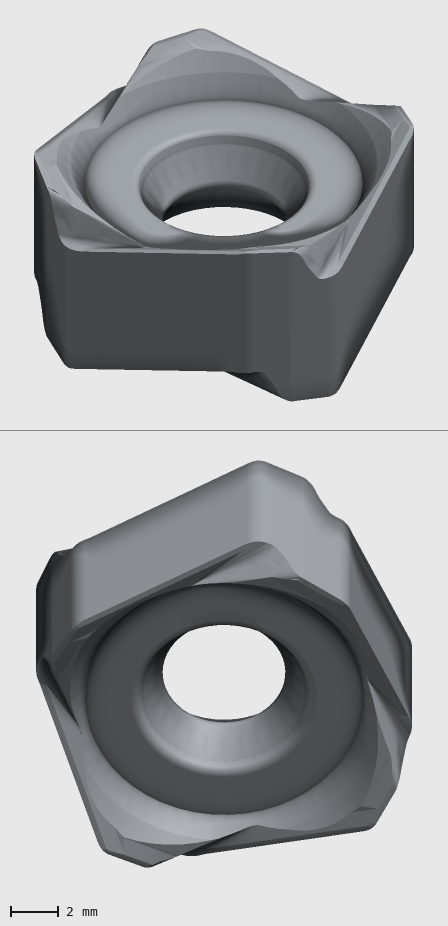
import cadquery as cq
import math

HALF_WIDTH = 7.0
HALF_THICKNESS = 4.2
SIDES = 4

CORNER_VERTEX = 5.645
CORNER_LEAN = 40.7
CORNER_RADIUS = 1.12
VERTEX_RADIUS = 0.6
DIAGONAL_TOLERANCE = 0.1

SEAT_HEIGHT = 2.03
SEAT_RADIUS = 5.83
WALL_SLOPE = 1.6
UPPER_WALL_RADIUS = 6.46
UPPER_WALL_SLOPE = 1.2

EDGE_MIDDLE_HEIGHT = 3.065
EDGE_SLOPE = 0.281
CORNER_EDGE_HEIGHT = 3.9
CORNER_EDGE_SLOPE = 0.17
LAND_WIDTH = 0.25
RAKE_ANGLE = 26.0
RAKE_WIDTH = 0.6
BACK_ANGLE = 10.0

GULLY_END = (-0.8, -6.1, 2.48)
GULLY_SHOULDER = (0.38, 3.64)
GULLY_SLOPE_MIDDLE = (0.75, 2.9)
GULLY_SLOPE_FOOT = (1.1, 2.36)
GULLY_FLOOR_START = 1.63
GULLY_SHOULDER_FALL = 0.3
GULLY_TIP_SCALE = 0.01
GULLY_OVERSHOOT = 1.4

RIM_RADIUS = 3.92
RIM_ROUND_MIDDLE = (3.734, 1.985)
RIM_ROUND_END = (3.59, 1.86)
BOWL_RADIUS = 3.45
BOWL_HEIGHT = 1.5
THROAT_RADIUS = 2.58
THROAT_ROUND = 0.38

CLEAR = 10.0


def body_prism():
    """Upper half of the plain outline, from mid-height to the top."""
    run = math.tan(math.radians(CORNER_LEAN))
    side_end = CORNER_VERTEX - (HALF_WIDTH - CORNER_VERTEX) / run
    points = []
    for sign_x, sign_y in ((1, 1), (-1, 1), (-1, -1), (1, -1)):
        corner = [
            (sign_x * HALF_WIDTH, sign_y * side_end),
            (sign_x * CORNER_VERTEX, sign_y * CORNER_VERTEX),
            (sign_x * side_end, sign_y * HALF_WIDTH),
        ]
        points += corner if sign_x == sign_y else corner[::-1]
    prism = cq.Workplane("XY").polyline(points).close().extrude(HALF_THICKNESS)

    def on_diagonal(edge):
        center = edge.Center()
        return math.isclose(abs(center.x), abs(center.y), abs_tol=DIAGONAL_TOLERANCE)

    upright = prism.edges("|Z").vals()
    side_ends = [edge for edge in upright if not on_diagonal(edge)]
    prism = prism.newObject(side_ends).fillet(CORNER_RADIUS)
    vertices = [edge for edge in prism.edges("|Z").vals() if on_diagonal(edge)]
    return prism.newObject(vertices).fillet(VERTEX_RADIUS)


def rake_block(start, direction, inward, length):
    """Solid below a land and rake face, whose edge runs from start along direction."""
    rake_end = LAND_WIDTH + RAKE_WIDTH
    rake_drop = RAKE_WIDTH * math.tan(math.radians(RAKE_ANGLE))
    back_drop = rake_drop + (CLEAR - rake_end) * math.tan(math.radians(BACK_ANGLE))
    section = [
        (-CLEAR, 0),
        (LAND_WIDTH, 0),
        (rake_end, -rake_drop),
        (CLEAR, -back_drop),
        (CLEAR, -2 * CLEAR),
        (-CLEAR, -2 * CLEAR),
    ]
    up = cq.Vector(0, 0, 1)
    corners = [start + inward * across + up * height for across, height in section]
    face = cq.Face.makeFromWires(cq.Wire.makePolygon(corners, close=True))
    return cq.Workplane(obj=cq.Solid.extrudeLinear(face, direction * length))


def front_ridge():
    """Ridge carrying the cutting edge of the front side and of its high right corner."""
    side_start = cq.Vector(-CLEAR, -HALF_WIDTH, EDGE_MIDDLE_HEIGHT - CLEAR * EDGE_SLOPE)
    side = rake_block(side_start, cq.Vector(1, 0, EDGE_SLOPE), cq.Vector(0, 1, 0), 2 * CLEAR)

    lean = math.radians(CORNER_LEAN)
    along = cq.Vector(math.cos(lean), math.sin(lean), -CORNER_EDGE_SLOPE)
    inward = cq.Vector(-math.sin(lean), math.cos(lean), 0)
    vertex = cq.Vector(CORNER_VERTEX, -CORNER_VERTEX, CORNER_EDGE_HEIGHT)
    corner = rake_block(vertex - along * CLEAR, along, inward, 2 * CLEAR)
    return side.intersect(corner)


def front_gully():
    """Cutter tapering from the left front corner facet to a point on the front side."""
    lean = math.radians(CORNER_LEAN)
    end = cq.Vector(*GULLY_END)

    def section(scale):
        def place(along, height):
            point = cq.Vector(
                -CORNER_VERTEX + along * math.cos(lean),
                -CORNER_VERTEX - along * math.sin(lean),
                height,
            )
            return end + (point - end) * scale

        top = place(0, CLEAR)
        shoulder_start = place(0, CORNER_EDGE_HEIGHT)
        floor_start = place(GULLY_FLOOR_START, SEAT_HEIGHT)
        floor_end = place(CLEAR, SEAT_HEIGHT)
        top_end = place(CLEAR, CLEAR)
        level = cq.Vector(math.cos(lean), -math.sin(lean), 0)
        slope = cq.Edge.makeSpline(
            [
                shoulder_start,
                place(*GULLY_SHOULDER),
                place(*GULLY_SLOPE_MIDDLE),
                place(*GULLY_SLOPE_FOOT),
                floor_start,
            ],
            tangents=[level - cq.Vector(0, 0, GULLY_SHOULDER_FALL), level],
        )
        return cq.Wire.assembleEdges([
            cq.Edge.makeLine(top, shoulder_start),
            slope,
            cq.Edge.makeLine(floor_start, floor_end),
            cq.Edge.makeLine(floor_end, top_end),
            cq.Edge.makeLine(top_end, top),
        ])

    sections = [section(GULLY_TIP_SCALE), section(GULLY_OVERSHOOT)]
    return cq.Workplane(obj=cq.Solid.makeLoft(sections, True))


def seat_bowl():
    """Clearance above the flat central seat, with a wall in two cones."""
    upper_wall_height = SEAT_HEIGHT + (UPPER_WALL_RADIUS - SEAT_RADIUS) * WALL_SLOPE
    top_radius = UPPER_WALL_RADIUS + (HALF_THICKNESS - upper_wall_height) / UPPER_WALL_SLOPE
    profile = (
        cq.Workplane("XZ")
        .moveTo(0, SEAT_HEIGHT)
        .lineTo(SEAT_RADIUS, SEAT_HEIGHT)
        .lineTo(UPPER_WALL_RADIUS, upper_wall_height)
        .lineTo(top_radius, HALF_THICKNESS)
        .lineTo(0, HALF_THICKNESS)
        .close()
    )
    return profile.revolve(360, (0, 0), (0, 1))


def clamping_hole():
    """Upper half of the waisted hole."""
    bowl_lean = math.atan((BOWL_RADIUS - THROAT_RADIUS) / BOWL_HEIGHT)

    def throat_point(angle):
        radius = THROAT_RADIUS + THROAT_ROUND * (1 - math.cos(angle))
        return radius, THROAT_ROUND * math.sin(angle)

    profile = (
        cq.Workplane("XZ")
        .lineTo(THROAT_RADIUS, 0)
        .threePointArc(throat_point(bowl_lean / 2), throat_point(bowl_lean))
        .lineTo(BOWL_RADIUS, BOWL_HEIGHT)
        .lineTo(*RIM_ROUND_END)
        .threePointArc(RIM_ROUND_MIDDLE, (RIM_RADIUS, SEAT_HEIGHT))
        .lineTo(0, SEAT_HEIGHT)
        .close()
    )
    return profile.revolve(360, (0, 0), (0, 1))


def turned(shape, turn):
    """The shape carried round to another side."""
    return shape.rotate((0, 0, 0), (0, 0, 1), turn * 360 / SIDES)


def upper_half():
    """Seat, four ridges and hole above mid-height."""
    prism = body_prism()
    below_seat = cq.Workplane("XY").box(2 * CLEAR, 2 * CLEAR, SEAT_HEIGHT, centered=(True, True, False))
    half = prism.intersect(below_seat)
    ridge = prism.intersect(front_ridge()).cut(turned(front_gully(), 1)).cut(seat_bowl())
    for turn in range(SIDES):
        half = half.union(turned(ridge, turn))
    return half.cut(clamping_hole())


upper = upper_half()
lower = upper.rotate((0, 0, 0), (1, 0, 0), 180)
result = upper.union(lower).clean()